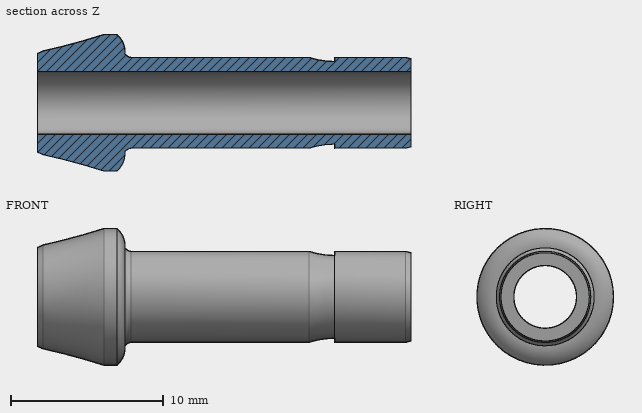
import cadquery as cq

total_length = 24.6
nose_length = 0.37
flare_end = 4.38
rim_end = 5.25
shoulder_end = 5.78
shank_start = 6.15
groove_start = 17.85
groove_end = 19.55
tail_chamfer_length = 0.37

bore_radius = 4.1 / 2
shank_radius = 6.0 / 2
rim_radius = 9.0 / 2
nose_face_radius = 3.25
nose_radius = 3.42
neck_radius = 3.22
groove_radius = 2.73
tail_chamfer_depth = 0.1

flare_sag = 0.05
shoulder_bulge = 0.35
neck_sag = 0.05
groove_sag = (shank_radius - groove_radius) / 4


def arc_middle(start, end, offset):
    """Point on an arc: the chord's midpoint, moved radially outward by offset."""
    return (start[0] + end[0]) / 2, (start[1] + end[1]) / 2 + offset


nose = (nose_length, nose_radius)
rim_front = (flare_end, rim_radius)
rim_back = (rim_end, rim_radius)
neck = (shoulder_end, neck_radius)
shank = (shank_start, shank_radius)
groove_edge = (groove_start, shank_radius)
groove_bottom = (groove_end, groove_radius)

half_section = (
    cq.Workplane("XY")
    .moveTo(0, bore_radius)
    .lineTo(0, nose_face_radius)
    .lineTo(*nose)
    .threePointArc(arc_middle(nose, rim_front, -flare_sag), rim_front)
    .lineTo(*rim_back)
    .threePointArc(arc_middle(rim_back, neck, shoulder_bulge), neck)
    .threePointArc(arc_middle(neck, shank, -neck_sag), shank)
    .lineTo(*groove_edge)
    .threePointArc(arc_middle(groove_edge, groove_bottom, -groove_sag), groove_bottom)
    .lineTo(groove_end, shank_radius)
    .lineTo(total_length - tail_chamfer_length, shank_radius)
    .lineTo(total_length, shank_radius - tail_chamfer_depth)
    .lineTo(total_length, bore_radius)
    .close()
)

result = half_section.revolve(360, (0, 0, 0), (1, 0, 0))